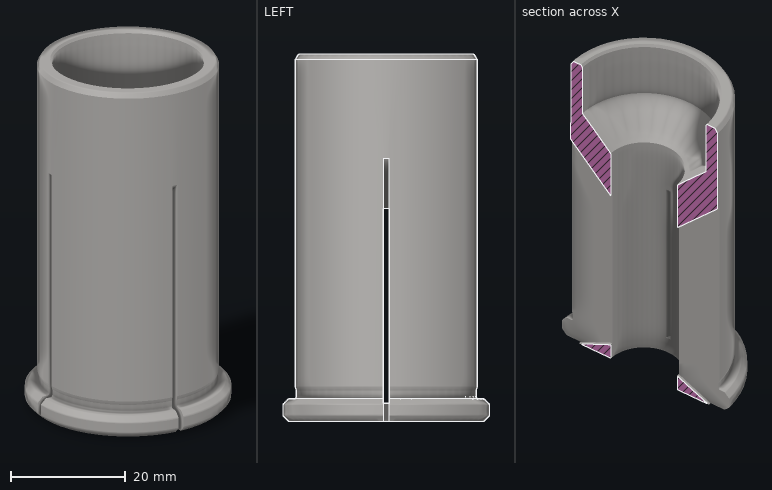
import math

import cadquery as cq

TOTAL_HEIGHT = 64.0
BODY_RADIUS = 31.75 / 2
TOP_CHAMFER_WIDTH = 0.6
TOP_CHAMFER_HEIGHT = 1.0

FLANGE_RADIUS = 36.0 / 2
FLANGE_HEIGHT = 4.0
FLANGE_CHAMFER = 1.0

EDGE_FILLET = 0.4

GROOVE_DEPTH = 0.2
NECK_RADIUS = BODY_RADIUS - GROOVE_DEPTH
NECK_FILLET = 0.4
NECK_TOP = 5.4
RELIEF_TOP = 6.1

HOLE_RADIUS = 14.29 / 2
BORE_RADIUS = 26.5 / 2
CONE_TOP = 53.0
CONE_BOTTOM = CONE_TOP - (BORE_RADIUS - HOLE_RADIUS)
BORE_CHAMFER_WIDTH = 0.3
BORE_CHAMFER_HEIGHT = 0.5

SLOT_COUNT = 4
SLOT_WIDTH = 1.0
SLOT_TOP = 45.8
SLOT_TOP_ANGLE = math.radians(45)
WEB_HEIGHT = 3.2
WEB_ANGLE = math.radians(25)
SLOT_REACH = FLANGE_RADIUS + 1.0


def make_blank():
    """Solid outer shape with rounded flange and rim corners, plus a collar for the neck fillet."""
    flange = (
        cq.Workplane("XY")
        .circle(FLANGE_RADIUS)
        .extrude(FLANGE_HEIGHT)
        .edges()
        .chamfer(FLANGE_CHAMFER)
        .edges("%CIRCLE and (not <Z)")
        .fillet(EDGE_FILLET)
    )
    body = (
        cq.Workplane("XY")
        .circle(BODY_RADIUS)
        .extrude(TOTAL_HEIGHT)
        .faces(">Z")
        .edges()
        .chamfer(TOP_CHAMFER_HEIGHT, TOP_CHAMFER_WIDTH)
        .faces(">Z")
        .edges()
        .fillet(EDGE_FILLET)
    )
    neck_collar = (
        cq.Workplane("XY")
        .circle(NECK_RADIUS + NECK_FILLET)
        .extrude(FLANGE_HEIGHT + NECK_FILLET)
    )
    return flange.union(body).union(neck_collar)


def make_groove():
    """Ring that cuts the relief groove: filleted at the flange, tapered into the body."""
    return (
        cq.Workplane("XZ")
        .moveTo(NECK_RADIUS + NECK_FILLET, FLANGE_HEIGHT)
        .radiusArc((NECK_RADIUS, FLANGE_HEIGHT + NECK_FILLET), NECK_FILLET)
        .lineTo(NECK_RADIUS, NECK_TOP)
        .lineTo(BODY_RADIUS, RELIEF_TOP)
        .lineTo(NECK_RADIUS + NECK_FILLET, RELIEF_TOP)
        .close()
        .revolve(360, (0, 0, 0), (0, 1, 0))
    )


def make_bore():
    """Stepped bore with its cone and the chamfer at the mouth."""
    return (
        cq.Workplane("XZ")
        .lineTo(HOLE_RADIUS, 0)
        .lineTo(HOLE_RADIUS, CONE_BOTTOM)
        .lineTo(BORE_RADIUS, CONE_TOP)
        .lineTo(BORE_RADIUS, TOTAL_HEIGHT - BORE_CHAMFER_HEIGHT)
        .lineTo(BORE_RADIUS + BORE_CHAMFER_WIDTH, TOTAL_HEIGHT)
        .lineTo(0, TOTAL_HEIGHT)
        .close()
        .revolve(360, (0, 0, 0), (0, 1, 0))
    )


def make_slot():
    """Cutter for the slot on the +X side, from the axis to beyond the flange."""
    top_slope = math.tan(SLOT_TOP_ANGLE)
    web_slope = math.tan(WEB_ANGLE)
    return (
        cq.Workplane("XZ")
        .moveTo(0, WEB_HEIGHT + HOLE_RADIUS * web_slope)
        .lineTo(SLOT_REACH, WEB_HEIGHT - (SLOT_REACH - HOLE_RADIUS) * web_slope)
        .lineTo(SLOT_REACH, SLOT_TOP + (SLOT_REACH - BODY_RADIUS) * top_slope)
        .lineTo(0, SLOT_TOP - BODY_RADIUS * top_slope)
        .close()
        .extrude(SLOT_WIDTH / 2, both=True)
    )


result = make_blank().cut(make_groove()).cut(make_bore())
for index in range(SLOT_COUNT):
    angle = index * 360 / SLOT_COUNT
    result = result.cut(make_slot().rotate((0, 0, 0), (0, 0, 1), angle))